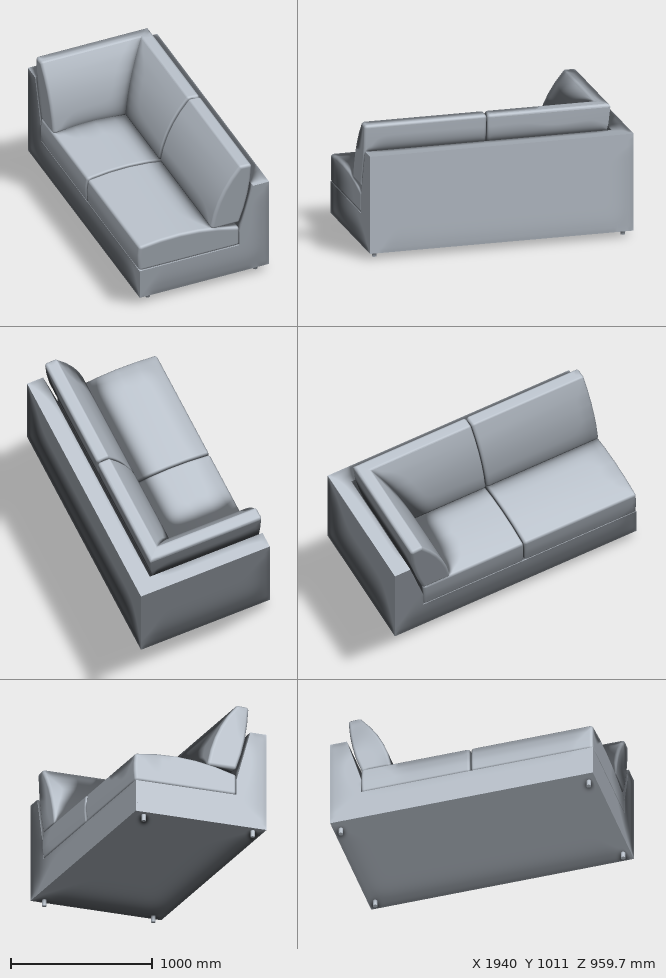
import cadquery as cq

LENGTH = 1940.0
DEPTH = 1001.0
LEG_HEIGHT = 47.0
PLINTH_TOP = 109.0
BASE_TOP = 280.0

REST_TOP = 766.0
REST_KNEE = 395.0
REST_TOP_THICKNESS = 125.0
REST_FOOT_THICKNESS = 229.0

LEG_DIAMETER = 33.0
LEG_INSET_X = 55.0
LEG_INSET_Y = 83.0

CUSHION_GAP = 5.0
CUSHION_FILLET = 21.0
RIGHT_CUSHION_LENGTH = 900.0

SEAT_FRONT_TOP = 483.0
SEAT_CROWN_TOP = 508.0
SEAT_CROWN_SETBACK = 281.0
SEAT_REAR_TOP = 430.0
SEAT_FRONT_BULGE = 10.0

BACK_BOTTOM = 475.0
BACK_TOP = 960.0
BACK_REAR_TOP = 955.0
BACK_REAR_TOP_OFFSET = 132.0
BACK_REAR_MID_OFFSET = 160.0
BACK_REAR_FOOT_OFFSET = 230.0
BACK_FRONT_TOP_OFFSET = 221.0
BACK_FRONT_MID_OFFSET = 380.0
BACK_FRONT_FOOT_OFFSET = 448.0
BACK_MID_HEIGHT = 718.0
BACK_TOP_MID_HEIGHT = 958.0

RIGHT_CUSHION_START = LENGTH - RIGHT_CUSHION_LENGTH
LEFT_CUSHION_END = RIGHT_CUSHION_START - CUSHION_GAP


def section_along_x(start_x):
    """Workplane at start_x whose local x is the offset from the back face and local y is Z."""
    origin = (start_x, DEPTH, 0)
    return cq.Workplane(cq.Plane(origin=origin, xDir=(0, -1, 0), normal=(-1, 0, 0)))


def section_along_y():
    """Workplane at the front face whose local x is the offset from the left face and local y is Z."""
    return cq.Workplane("XZ")


def rest_outline(plane):
    """Section of the backrest or armrest above the base."""
    return (
        plane.moveTo(0, BASE_TOP)
        .lineTo(0, REST_TOP)
        .lineTo(REST_TOP_THICKNESS, REST_TOP)
        .lineTo(REST_FOOT_THICKNESS, REST_KNEE)
        .lineTo(REST_FOOT_THICKNESS, BASE_TOP)
        .close()
    )


def back_cushion_outline(plane):
    """Section of a back cushion: hollow rear, bulging front and a slightly domed top."""
    top_mid_offset = (BACK_REAR_TOP_OFFSET + BACK_FRONT_TOP_OFFSET) / 2
    return (
        plane.moveTo(BACK_REAR_FOOT_OFFSET, BACK_BOTTOM)
        .threePointArc((BACK_REAR_MID_OFFSET, BACK_MID_HEIGHT), (BACK_REAR_TOP_OFFSET, BACK_REAR_TOP))
        .threePointArc((top_mid_offset, BACK_TOP_MID_HEIGHT), (BACK_FRONT_TOP_OFFSET, BACK_TOP))
        .threePointArc((BACK_FRONT_MID_OFFSET, BACK_MID_HEIGHT), (BACK_FRONT_FOOT_OFFSET, BACK_BOTTOM))
        .close()
    )


def make_plinth():
    height = PLINTH_TOP - LEG_HEIGHT
    return cq.Workplane().box(LENGTH, DEPTH, height, centered=False).translate((0, 0, LEG_HEIGHT))


def make_frame():
    height = BASE_TOP - PLINTH_TOP
    base = cq.Workplane().box(LENGTH, DEPTH, height, centered=False).translate((0, 0, PLINTH_TOP))
    backrest = rest_outline(section_along_x(0)).extrude(-LENGTH)
    armrest = rest_outline(section_along_y()).extrude(-DEPTH)
    return base.union(backrest).union(armrest)


def make_leg(x, y):
    return cq.Workplane().center(x, y).circle(LEG_DIAMETER / 2).extrude(LEG_HEIGHT)


def make_seat(start_x, end_x):
    """Seat cushion with a crowned top and a bulging front."""
    seat_depth = DEPTH - REST_FOOT_THICKNESS
    front_mid_height = (BASE_TOP + SEAT_FRONT_TOP) / 2
    return (
        cq.Workplane("YZ", origin=(start_x, 0, 0))
        .moveTo(0, BASE_TOP)
        .threePointArc((-SEAT_FRONT_BULGE, front_mid_height), (0, SEAT_FRONT_TOP))
        .threePointArc((SEAT_CROWN_SETBACK, SEAT_CROWN_TOP), (seat_depth, SEAT_REAR_TOP))
        .lineTo(seat_depth, BASE_TOP)
        .close()
        .extrude(end_x - start_x)
        .edges()
        .fillet(CUSHION_FILLET)
    )


def back_run(start_x, end_x):
    """Rounded back cushion running along X in front of the backrest."""
    run = back_cushion_outline(section_along_x(start_x)).extrude(start_x - end_x)
    return run.edges().fillet(CUSHION_FILLET)


def arm_run():
    """Rounded back cushion running along Y beside the armrest."""
    return back_cushion_outline(section_along_y()).extrude(-DEPTH).edges().fillet(CUSHION_FILLET)


def make_corner_cushion():
    """Back and arm runs joined by a mitre on the diagonal from the outer rear corner."""
    rear_side = (
        cq.Workplane()
        .polyline([(0, DEPTH), (LENGTH, DEPTH), (LENGTH, DEPTH - LENGTH)])
        .close()
        .extrude(BACK_TOP)
    )
    back = back_run(0, LEFT_CUSHION_END).intersect(rear_side)
    arm = arm_run().cut(rear_side)
    return back.union(arm)


plinth = make_plinth()
frame = make_frame()
legs = [
    make_leg(x, y)
    for x in (LEG_INSET_X, LENGTH - LEG_INSET_X)
    for y in (LEG_INSET_Y, DEPTH - LEG_INSET_Y)
]

left_seat = make_seat(REST_FOOT_THICKNESS, LEFT_CUSHION_END)
right_seat = make_seat(RIGHT_CUSHION_START, LENGTH)

corner_cushion = make_corner_cushion().cut(left_seat)
right_cushion = back_run(RIGHT_CUSHION_START, LENGTH).cut(right_seat)

result = cq.Compound.makeCompound(
    [plinth.val(), frame.val(), left_seat.val(), right_seat.val()]
    + [corner_cushion.val(), right_cushion.val()]
    + [leg.val() for leg in legs]
)